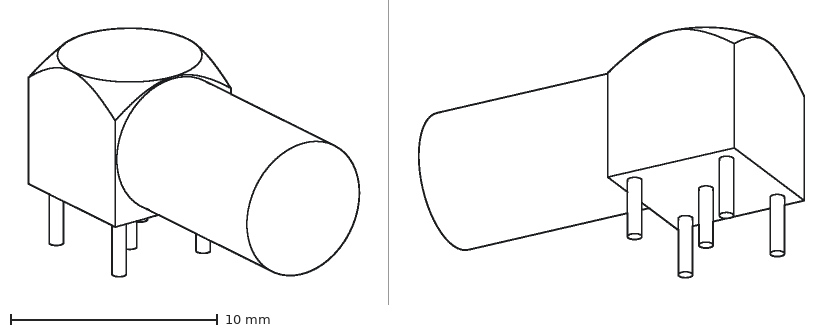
import cadquery as cq

HOUSING_SIDE = 7.0
TOTAL_LENGTH = 17.5

BARREL_DIAMETER = 6.8
BARREL_LENGTH = TOTAL_LENGTH - HOUSING_SIDE

PIN_DIAMETER = 0.7
PIN_LENGTH = 3.0
PIN_PITCH = 2.54

HALF_SIDE = HOUSING_SIDE / 2
CORNER_RADIUS = HALF_SIDE * 2**0.5


def make_housing():
    """Cube whose top corners are cut by a 45 degree cone, leaving a round top face."""
    cube = cq.Workplane("XY").box(HOUSING_SIDE, HOUSING_SIDE, HOUSING_SIDE, centered=(True, True, False))
    cone_drop = CORNER_RADIUS - HALF_SIDE
    envelope = (
        cq.Workplane("XZ")
        .moveTo(0, 0)
        .lineTo(CORNER_RADIUS, 0)
        .lineTo(CORNER_RADIUS, HOUSING_SIDE - cone_drop)
        .lineTo(HALF_SIDE, HOUSING_SIDE)
        .lineTo(0, HOUSING_SIDE)
        .close()
        .revolve(360, (0, 0), (0, 1))
    )
    return cube.intersect(envelope)


def make_barrel():
    """Plain cylinder along +X, seated on the housing's side face."""
    return (
        cq.Workplane("YZ", origin=(HALF_SIDE, 0, HALF_SIDE))
        .circle(BARREL_DIAMETER / 2)
        .extrude(BARREL_LENGTH)
    )


def make_pin(x, y):
    """Round pin hanging from the underside of the housing."""
    return cq.Workplane("XY", origin=(x, y, 0)).circle(PIN_DIAMETER / 2).extrude(-PIN_LENGTH)


housing = make_housing()
barrel = make_barrel()

pin_places = [(0, 0)]
for side_x in (-1, 1):
    for side_y in (-1, 1):
        pin_places.append((side_x * PIN_PITCH, side_y * PIN_PITCH))
pins = [make_pin(x, y).val() for x, y in pin_places]

result = cq.Compound.makeCompound([housing.val(), barrel.val(), *pins])